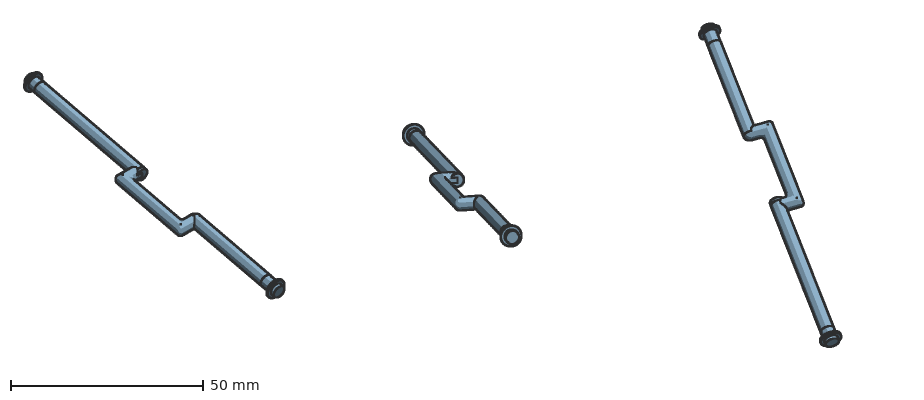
import cadquery as cq

length = 102.15
axis_drop = 4.85

crank_diameter = 3.6
crank_radius = crank_diameter / 2
left_arm_x = 44.3
right_arm_x = 67.75
outer_elbow_radius = 0.9
inner_elbow_radius = 1.0
crest_margin = 0.01

left_shaft_diameter = 3.7
left_shaft_end_x = 45.0
left_stub_end_x = 45.95
right_shaft_diameter = 3.65
right_shaft_start_x = 67.45
right_knuckle_diameter = 3.65

left_journal_diameter = 3.75
right_journal_diameter = 3.6
left_journal_length = 4.05
right_journal_length = 5.4

left_collar_diameter = 5.7
right_collar_diameter = 5.6
collar_width = 0.6
left_collar_x = 1.05
right_collar_x = length - 1.85


def rod_along_x(x_start, x_end, diameter, y=0):
    """Round bar parallel to the X axis."""
    return cq.Workplane("YZ", origin=(x_start, y, 0)).circle(diameter / 2).extrude(x_end - x_start)


def arm(x):
    """Round bar from the shaft axis down past the pin."""
    return cq.Workplane("XZ", origin=(x, 0, 0)).circle(crank_radius).extrude(axis_drop + crank_radius)


def mitred_throw():
    """Arms and pin meeting in sharp 45 degree mitres."""
    reach = crank_diameter
    pin_zone = (
        cq.Workplane("XY")
        .polyline([
            (left_arm_x - reach, -axis_drop - reach),
            (left_arm_x + reach, -axis_drop + reach),
            (right_arm_x - reach, -axis_drop + reach),
            (right_arm_x + reach, -axis_drop - reach),
        ])
        .close()
        .extrude(crank_diameter, both=True)
    )
    pin = rod_along_x(left_arm_x - crank_radius, right_arm_x + crank_radius, crank_diameter, -axis_drop)
    arms = arm(left_arm_x).union(arm(right_arm_x))
    return arms.cut(pin_zone).union(pin.intersect(pin_zone))


def crank_throw():
    """Mitred throw with its inner and outer elbows rounded."""
    sharp = mitred_throw()
    slab = cq.Workplane("XY").box(2 * length, 2 * length, crank_diameter - 2 * crest_margin)
    inner_elbows = cq.selectors.BoxSelector(
        (left_arm_x, -axis_drop, -crank_radius), (right_arm_x, 0, crank_radius)
    )
    outer_elbows = cq.selectors.BoxSelector(
        (0, -axis_drop - crank_diameter, -crank_radius), (length, -axis_drop, crank_radius)
    )
    rounded = sharp.intersect(slab)
    rounded = rounded.edges("%ELLIPSE").edges(inner_elbows).fillet(inner_elbow_radius)
    rounded = rounded.edges("%ELLIPSE").edges(outer_elbows).fillet(outer_elbow_radius)
    return sharp.cut(slab).union(rounded)


def left_side():
    """Left shaft with its journal, collar and stub past the left arm."""
    stub = rod_along_x(left_shaft_end_x, left_stub_end_x, crank_diameter)
    journal = rod_along_x(0, left_journal_length, left_journal_diameter)
    shaft = rod_along_x(left_journal_length, left_shaft_end_x, left_shaft_diameter)
    collar = rod_along_x(left_collar_x, left_collar_x + collar_width, left_collar_diameter)
    return shaft.union(stub).union(journal).union(collar)


def right_side():
    """Right shaft with its journal, collar and the ball at the right arm."""
    journal_x = length - right_journal_length
    journal = rod_along_x(journal_x, length, right_journal_diameter)
    shaft = rod_along_x(right_shaft_start_x, journal_x, right_shaft_diameter)
    knuckle = cq.Workplane("XY").center(right_arm_x, 0).sphere(right_knuckle_diameter / 2)
    collar = rod_along_x(right_collar_x, right_collar_x + collar_width, right_collar_diameter)
    return shaft.union(knuckle).union(journal).union(collar)


result = crank_throw().union(left_side()).union(right_side())